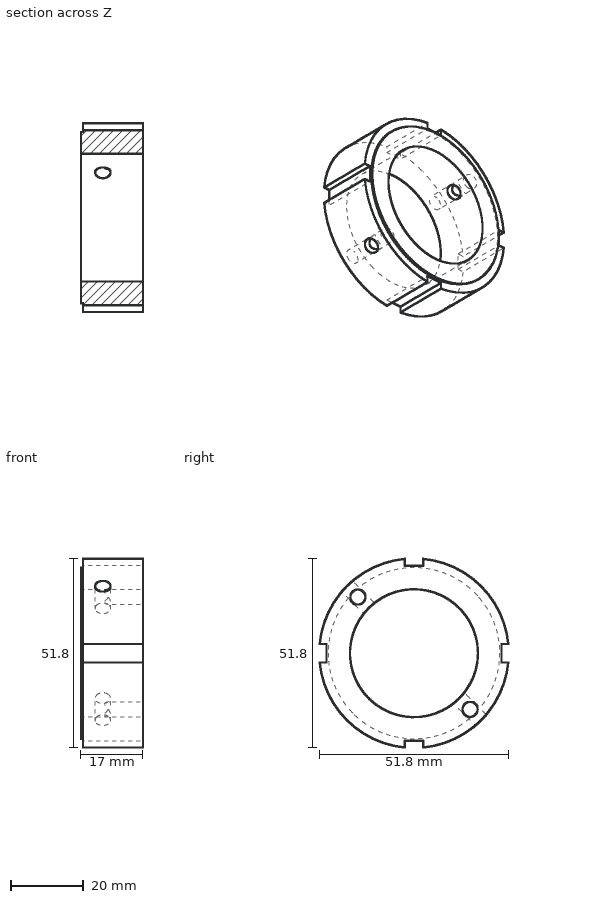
import cadquery as cq

outer_diameter = 52.0
bore_diameter = 35.0
face_diameter = 47.0
total_length = 17.0
face_height = 0.5

slot_width = 5.0
slot_floor_radius = 24.0
slot_count = 4

radial_hole_diameter = 4.2
radial_hole_x = 6.0
screw_hole_diameter = 4.13
locking_angles = (135.0, -45.0)

outer_radius = outer_diameter / 2
bore_radius = bore_diameter / 2
face_radius = face_diameter / 2
screw_hole_pitch_radius = (outer_radius + bore_radius) / 2
screw_hole_depth = total_length - radial_hole_x


def make_ring():
    """Plain ring with a thin raised contact face on its -X end."""
    face = cq.Workplane("YZ").circle(face_radius).extrude(total_length)
    body = (
        cq.Workplane("YZ", origin=(face_height, 0, 0))
        .circle(outer_radius)
        .extrude(total_length - face_height)
    )
    bore = cq.Workplane("YZ").circle(bore_radius).extrude(total_length)
    return body.union(face).cut(bore)


def make_spanner_slot(angle):
    """Cutter for one spanner slot, open at both ends of the body."""
    slot_depth = outer_radius - slot_floor_radius
    return (
        cq.Workplane("XY")
        .box(total_length, slot_depth, slot_width, centered=(False, False, True))
        .translate((0, slot_floor_radius, 0))
        .rotate((0, 0, 0), (1, 0, 0), angle)
    )


def make_locking_hole(angle):
    """Cutter for a radial hole through the wall and the screw hole from the +X end that meets it."""
    radial_hole = (
        cq.Workplane("XZ", origin=(radial_hole_x, 0, 0))
        .circle(radial_hole_diameter / 2)
        .extrude(-outer_radius)
    )
    screw_hole = (
        cq.Workplane("YZ", origin=(radial_hole_x, screw_hole_pitch_radius, 0))
        .circle(screw_hole_diameter / 2)
        .extrude(screw_hole_depth)
    )
    return radial_hole.union(screw_hole).rotate((0, 0, 0), (1, 0, 0), angle)


result = make_ring()
for slot_index in range(slot_count):
    result = result.cut(make_spanner_slot(slot_index * 360.0 / slot_count))
for locking_angle in locking_angles:
    result = result.cut(make_locking_hole(locking_angle))